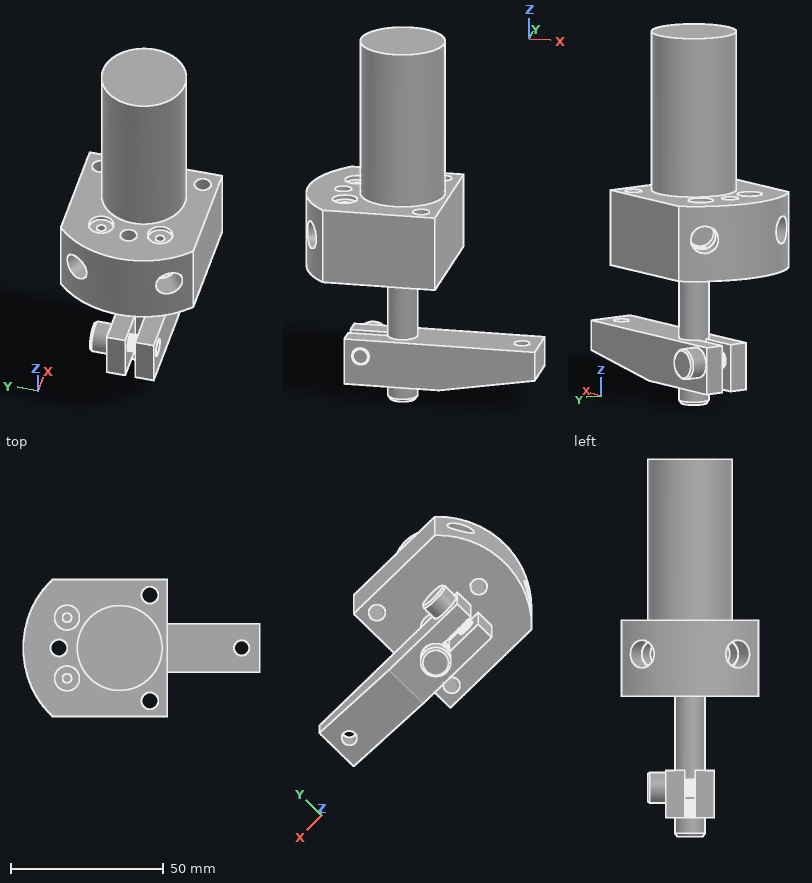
import cadquery as cq


cylinder_diameter = 27.9
overall_height = 124.0

block_width = 45.0
block_height = 25.0
block_top = 71.2
block_bottom = block_top - block_height
block_right = 15.6
block_left = -31.7
block_shoulder = -22.1

mount_hole_diameter = 5.5
mount_hole_x = 9.9
mount_hole_y = 17.4
rear_mount_hole_x = -20.0

port_angle = 30.0
port_diameter = 9.0
port_depth_below_top = 11.2
port_end_radius = 23.9
port_drill_diameter = 8.8
port_drill_end_radius = 18.5
port_bore_diameter = 3.0
port_bore_depth = 16.1
seal_seat_diameter = 8.2
seal_seat_depth = 1.5
seal_seat_radius = 20.0

rod_diameter = 9.9
rod_chamfer = 0.7
rod_chamfer_height = 1.1

groove_pitch = 0.7
groove_depth = 0.2
rod_groove_count = 8
screw_groove_count = 4

arm_bottom = 6.2
arm_height = 15.6
arm_top = arm_bottom + arm_height
arm_width = 16.0
arm_left = -18.0
arm_right = 46.0
arm_tip_height = 9.9
taper_start_x = 13.8
slot_width = 3.3
tip_hole_diameter = 5.0
tip_hole_x = 40.0

screw_x = -12.5
screw_z = 16.1
screw_diameter = 5.7
screw_tip_chamfer = 0.4
screw_head_diameter = 10.0
screw_head_height = 6.0
screw_head_chamfer = 0.5
screw_head_chamfer_length = 0.7


def z_cylinder(diameter, bottom, top, x=0.0, y=0.0):
    """Upright cylinder between two heights."""
    return cq.Workplane("XY", origin=(x, y, bottom)).circle(diameter / 2).extrude(top - bottom)


def make_grooves(diameter, count):
    """Cutter for a row of V grooves around the Z axis, starting at Z = 0 and going up."""
    radius = diameter / 2
    profile = cq.Workplane("XZ").moveTo(radius, 0)
    for index in range(count):
        start = index * groove_pitch
        profile = profile.lineTo(radius - groove_depth, start + groove_pitch / 2)
        profile = profile.lineTo(radius, start + groove_pitch)
    outside = radius + groove_depth
    profile = profile.lineTo(outside, count * groove_pitch).lineTo(outside, 0).close()
    return profile.revolve(360, (0, 0, 0), (0, 1, 0))


def make_cylinder():
    return z_cylinder(cylinder_diameter, block_top, overall_height)


def make_port(side):
    """Cutter for one oil port; side is +1 or -1 along Y."""
    port_z = block_top - port_depth_below_top
    port_radius = port_diameter / 2
    drill_radius = port_drill_diameter / 2
    mouth_radius = abs(block_left) + port_radius

    port = (
        cq.Workplane("XZ")
        .moveTo(-port_drill_end_radius, 0)
        .lineTo(-port_drill_end_radius, drill_radius)
        .lineTo(-port_end_radius, drill_radius)
        .lineTo(-port_end_radius, port_radius)
        .lineTo(-mouth_radius, port_radius)
        .lineTo(-mouth_radius, 0)
        .close()
        .revolve(360, (0, 0, 0), (1, 0, 0))
        .translate((0, 0, port_z))
    )
    bore = z_cylinder(port_bore_diameter, block_top - port_bore_depth, block_top, -seal_seat_radius)
    seat = z_cylinder(seal_seat_diameter, block_top - seal_seat_depth, block_top, -seal_seat_radius)
    return port.union(bore).union(seat).rotate((0, 0, 0), (0, 0, 1), -side * port_angle)


def make_block():
    half_width = block_width / 2
    block = (
        cq.Workplane("XY", origin=(0, 0, block_bottom))
        .moveTo(block_right, -half_width)
        .lineTo(block_right, half_width)
        .lineTo(block_shoulder, half_width)
        .threePointArc((block_left, 0), (block_shoulder, -half_width))
        .close()
        .extrude(block_height)
    )
    mount_holes = [(mount_hole_x, mount_hole_y), (mount_hole_x, -mount_hole_y), (rear_mount_hole_x, 0)]
    for x, y in mount_holes:
        block = block.cut(z_cylinder(mount_hole_diameter, block_bottom, block_top, x, y))
    for side in (1, -1):
        block = block.cut(make_port(side))
    return block


def make_rod():
    rod = z_cylinder(rod_diameter, 0, block_bottom)
    rod = rod.faces("<Z").chamfer(rod_chamfer_height, rod_chamfer)
    grooves = make_grooves(rod_diameter, rod_groove_count).translate((0, 0, arm_bottom))
    return rod.cut(grooves)


def make_arm():
    arm = (
        cq.Workplane("XZ")
        .moveTo(arm_left, arm_bottom)
        .lineTo(taper_start_x, arm_bottom)
        .lineTo(arm_right, arm_top - arm_tip_height)
        .lineTo(arm_right, arm_top)
        .lineTo(arm_left, arm_top)
        .close()
        .extrude(arm_width / 2, both=True)
    )
    slot = (
        cq.Workplane("XY", origin=(arm_left / 2, 0, arm_bottom))
        .rect(abs(arm_left), slot_width)
        .extrude(arm_height)
    )
    rod_hole = z_cylinder(rod_diameter, arm_bottom, arm_top)
    tip_hole = z_cylinder(tip_hole_diameter, arm_bottom, arm_top, tip_hole_x)
    screw_hole = (
        cq.Workplane("XZ", origin=(screw_x, 0, screw_z))
        .circle(screw_diameter / 2)
        .extrude(arm_width / 2, both=True)
    )
    return arm.cut(slot).cut(rod_hole).cut(tip_hole).cut(screw_hole)


def make_screw():
    half_width = arm_width / 2
    shank = (
        cq.Workplane("XZ", origin=(screw_x, half_width, screw_z))
        .circle(screw_diameter / 2)
        .extrude(arm_width)
        .faces("<Y")
        .chamfer(screw_tip_chamfer)
    )
    head = (
        cq.Workplane("XZ", origin=(screw_x, half_width + screw_head_height, screw_z))
        .circle(screw_head_diameter / 2)
        .extrude(screw_head_height)
        .faces(">Y")
        .chamfer(screw_head_chamfer_length, screw_head_chamfer)
    )
    half_groove_length = screw_groove_count * groove_pitch / 2
    grooves = (
        make_grooves(screw_diameter, screw_groove_count)
        .rotate((0, 0, 0), (1, 0, 0), 90)
        .translate((screw_x, half_groove_length, screw_z))
    )
    return shank.cut(grooves).union(head)


cylinder = make_cylinder()
block = make_block()
rod = make_rod()
arm = make_arm()
screw = make_screw()

result = cq.Compound.makeCompound([cylinder.val(), block.val(), rod.val(), arm.val(), screw.val()])